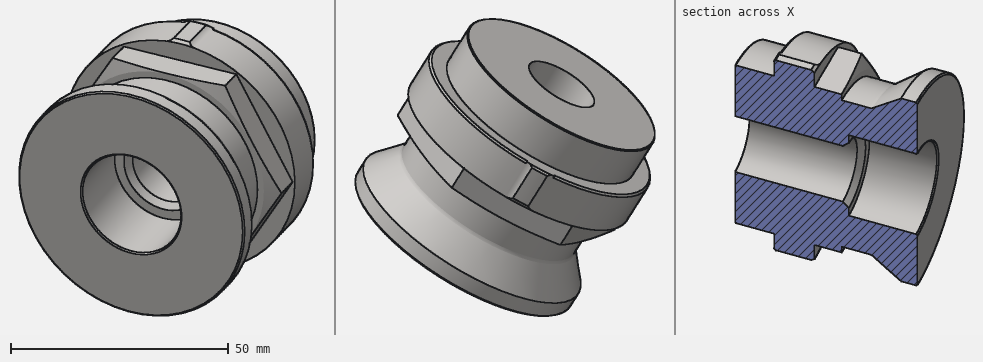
import cadquery as cq
import math

total_length = 45.3
flange_rim_end = 4.1
cone_end = 11.45
hex_start = 18.8
collar_start = 25.55
collar_end = 35.65

flange_radius = 28.9
neck_radius = 23.15
collar_radius = 29.4
rear_radius = 24.95
flange_chamfer = 0.35
collar_chamfer = 0.5
rear_chamfer = 0.25
neck_fillet = 1.2

hex_across_flats = 2 * rear_radius
hex_corner_radius = hex_across_flats / 2 / math.cos(math.pi / 6)
hex_bevel_radius = 24.8
hex_bevel_depth = 0.95

key_radius = 30.0
key_top_half_width = 2.05
key_foot_half_width = 3.65
key_bevel_length = 0.85

socket_radius = 12.6
socket_depth = 17.05
socket_chamfer = 0.35
bore_radius = 8.7
bore_lead_in = 1.5


def revolve_about_y(points):
    """Revolve a closed (radius, y) outline about the Y axis."""
    return cq.Workplane("XY").polyline(points).close().revolve(360, (0, 0, 0), (0, 1, 0))


def disc(radius, start, end):
    """Cylinder about the Y axis between two stations."""
    return cq.Workplane("XZ", origin=(0, start, 0)).circle(radius).extrude(start - end)


def make_flange_and_neck():
    spool = revolve_about_y([
        (0, 0),
        (flange_radius - flange_chamfer, 0),
        (flange_radius, flange_chamfer),
        (flange_radius, flange_rim_end),
        (neck_radius, cone_end),
        (neck_radius, hex_start),
        (0, hex_start),
    ])
    pick_margin = 0.05
    corner = cq.selectors.BoxSelector(
        (-collar_radius, cone_end - pick_margin, -collar_radius),
        (collar_radius, cone_end + pick_margin, collar_radius),
    )
    return spool.edges(corner).edges("%CIRCLE").fillet(neck_fillet)


def make_hexagon():
    prism = (
        cq.Workplane("XZ", origin=(0, hex_start, 0))
        .polygon(6, 2 * hex_corner_radius)
        .extrude(hex_start - collar_start)
    )
    bevel = revolve_about_y([
        (0, hex_start),
        (hex_bevel_radius, hex_start),
        (hex_corner_radius, hex_start + hex_bevel_depth),
        (hex_corner_radius, collar_start),
        (0, collar_start),
    ])
    return prism.intersect(bevel)


def make_key():
    """Key on the +Z side, with hollow flanks that run tangent into the collar."""
    foot_height = math.sqrt(collar_radius**2 - key_foot_half_width**2)
    top_height = math.sqrt(key_radius**2 - key_top_half_width**2)
    foot = cq.Vector(key_foot_half_width, foot_height, 0)
    foot_tangent = cq.Vector(-foot_height, key_foot_half_width, 0)
    shoulder = cq.Vector(key_top_half_width, top_height, 0)
    flank = cq.Edge.makeTangentArc(foot, foot_tangent, shoulder)
    flank_middle = flank.positionAt(0.5)
    blank = (
        cq.Workplane("XZ", origin=(0, collar_start, 0))
        .lineTo(foot.x, foot.y)
        .threePointArc((flank_middle.x, flank_middle.y), (shoulder.x, shoulder.y))
        .threePointArc((0, key_radius), (-shoulder.x, shoulder.y))
        .threePointArc((-flank_middle.x, flank_middle.y), (-foot.x, foot.y))
        .close()
        .extrude(collar_start - collar_end)
    )
    end_bevels = revolve_about_y([
        (0, collar_start),
        (collar_radius, collar_start),
        (key_radius, collar_start + key_bevel_length),
        (key_radius, collar_end - collar_chamfer),
        (key_radius - collar_chamfer, collar_end),
        (0, collar_end),
    ])
    return blank.intersect(end_bevels)


def make_collar():
    ring = disc(collar_radius, collar_start, collar_end).faces(">Y").chamfer(collar_chamfer)
    key = make_key()
    opposite_key = key.rotate((0, 0, 0), (0, 1, 0), 180)
    return ring.union(key).union(opposite_key)


def make_rear_drum():
    return disc(rear_radius, collar_end, total_length).faces(">Y").chamfer(rear_chamfer)


def make_bore():
    """Wide front socket, then a conical lead-in to the through bore."""
    return revolve_about_y([
        (0, 0),
        (socket_radius + socket_chamfer, 0),
        (socket_radius, socket_chamfer),
        (socket_radius, socket_depth),
        (bore_radius + bore_lead_in, socket_depth),
        (bore_radius, socket_depth + bore_lead_in),
        (bore_radius, total_length),
        (0, total_length),
    ])


result = (
    make_flange_and_neck()
    .union(make_hexagon())
    .union(make_collar())
    .union(make_rear_drum())
    .cut(make_bore())
)